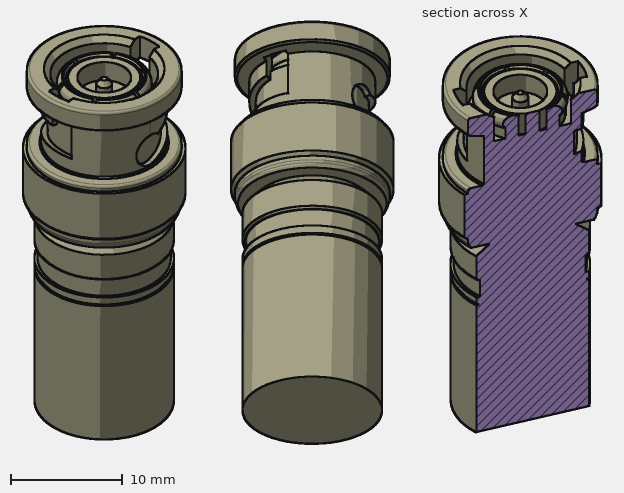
import cadquery as cq
import math

length = 36.05

rim_radius = 6.95
rim_rounding = 0.25
rim_edge_depth = 1.9
rim_under_radius = 6.75
rim_under_depth = 2.1
neck_radius = 5.65
neck_top_depth = 2.45
neck_flare = 0.15

collar_diameter = 14.6
collar_radius = collar_diameter / 2
collar_top_depth = 8.0
collar_step_depth = 8.58
collar_bottom_depth = 13.5
lower_rim_depth = 14.25
end_round_radius = 6.9
end_round_depth = 14.5
nut_end_depth = 14.9
nut_end_radius = 6.67

throat_radius = 5.23
body_radius = 6.27
body_shoulder_depth = nut_end_depth + (body_radius - throat_radius)
wide_groove_top_depth = 18.55
wide_groove_bottom_depth = 20.6
wide_groove_radius = 6.0
wide_groove_chamfer = 0.2
joint_depth = 21.35
joint_groove_size = 0.18

bore_radius = 4.83
bore_mouth_radius = 5.4
bore_mouth_depth = 0.55
bore_depth = 3.25

finger_count = 6
finger_radius = 4.25
finger_root_radius = 4.1
finger_bulge_depth = 1.45
finger_inner_radius = 3.42
finger_top_depth = 0.8
finger_tip_inner_radius = 3.65
finger_tip_outer_radius = 3.8
finger_slot_width = 0.35

insulator_radius = 3.25
insulator_depth = 0.95
insulator_bore_radius = 2.4
insulator_bore_depth = 2.92
pin_radius = 0.72
pin_tip_radius = 0.3
pin_tip_depth = 1.08
pin_shoulder_depth = 1.62

key_width = 2.35
key_outer_radius = 6.05
ramp_floor_radius = 5.1
ramp_width = 2.45
ramp_angle = 13.5
latch_radius = 1.6
latch_depth = 6.15


def height(depth):
    """Z of a point that lies the given depth below the mating face."""
    return length - depth


def cylinder(radius, top_depth, bottom_depth):
    """Solid cylinder on the axis between two depths."""
    base = cq.Workplane("XY").workplane(offset=height(bottom_depth))
    return base.circle(radius).extrude(bottom_depth - top_depth)


def revolve(profile):
    """Turn a closed radius-height profile about the Z axis."""
    return profile.close().revolve(360, (0, 0, 0), (0, 1, 0))


def outer_shell():
    """Solid envelope of the nut and cable body."""
    arc_offset = rim_rounding * (1 - math.sqrt(0.5))
    groove_bottom = wide_groove_top_depth + wide_groove_chamfer
    joint_bottom = joint_depth + joint_groove_size
    return revolve(
        cq.Workplane("XZ")
        .moveTo(0, height(0))
        .lineTo(rim_radius - rim_rounding, height(0))
        .threePointArc(
            (rim_radius - arc_offset, height(arc_offset)),
            (rim_radius, height(rim_rounding)),
        )
        .lineTo(rim_radius, height(rim_edge_depth))
        .lineTo(rim_under_radius, height(rim_under_depth))
        .lineTo(neck_radius, height(neck_top_depth))
        .lineTo(neck_radius, height(collar_top_depth - neck_flare))
        .lineTo(neck_radius + neck_flare, height(collar_top_depth))
        .lineTo(rim_radius - rim_rounding, height(collar_top_depth))
        .threePointArc(
            (rim_radius - arc_offset, height(collar_top_depth + arc_offset)),
            (rim_radius, height(collar_top_depth + rim_rounding)),
        )
        .lineTo(rim_radius, height(collar_step_depth))
        .lineTo(collar_radius, height(collar_step_depth))
        .lineTo(collar_radius, height(collar_bottom_depth))
        .lineTo(rim_radius, height(collar_bottom_depth + collar_radius - rim_radius))
        .lineTo(rim_radius, height(lower_rim_depth))
        .lineTo(end_round_radius, height(end_round_depth))
        .tangentArcPoint((nut_end_radius, height(nut_end_depth)), relative=False)
        .lineTo(throat_radius, height(nut_end_depth))
        .lineTo(body_radius, height(body_shoulder_depth))
        .lineTo(body_radius, height(wide_groove_top_depth))
        .lineTo(body_radius - wide_groove_chamfer, height(groove_bottom))
        .lineTo(wide_groove_radius, height(groove_bottom))
        .lineTo(wide_groove_radius, height(wide_groove_bottom_depth))
        .lineTo(body_radius, height(wide_groove_bottom_depth))
        .lineTo(body_radius, height(joint_depth))
        .lineTo(body_radius - joint_groove_size, height(joint_bottom))
        .lineTo(body_radius, height(joint_bottom))
        .lineTo(body_radius, 0)
        .lineTo(0, 0)
    )


def socket():
    """Flared bore in the mating end."""
    return revolve(
        cq.Workplane("XZ")
        .moveTo(0, height(0))
        .lineTo(bore_mouth_radius, height(0))
        .lineTo(bore_radius, height(bore_mouth_depth))
        .lineTo(bore_radius, height(bore_depth))
        .lineTo(0, height(bore_depth))
    )


def contact_fingers():
    """Rounded contact ring split into equal fingers by radial slots."""
    bevel = finger_tip_inner_radius - finger_inner_radius
    ring = revolve(
        cq.Workplane("XZ")
        .moveTo(finger_inner_radius, height(bore_depth))
        .lineTo(finger_inner_radius, height(finger_top_depth + bevel))
        .lineTo(finger_tip_inner_radius, height(finger_top_depth))
        .lineTo(finger_tip_outer_radius, height(finger_top_depth))
        .threePointArc(
            (finger_radius, height(finger_bulge_depth)),
            (finger_root_radius, height(2 * finger_bulge_depth - finger_top_depth)),
        )
        .lineTo(finger_root_radius, height(bore_depth))
    )
    slot_height = bore_depth - finger_top_depth
    for index in range(finger_count):
        slot = cq.Workplane("XY").box(
            bore_radius, finger_slot_width, slot_height, centered=(False, True, False)
        )
        slot = slot.translate((0, 0, height(bore_depth)))
        ring = ring.cut(slot.rotate((0, 0, 0), (0, 0, 1), index * 360 / finger_count))
    return ring


def insulator():
    """Hollow insulator with a floor around the pin."""
    body = cylinder(insulator_radius, insulator_depth, bore_depth)
    return body.cut(cylinder(insulator_bore_radius, insulator_depth, insulator_bore_depth))


def centre_pin():
    """Centre contact with a tapered tip."""
    return revolve(
        cq.Workplane("XZ")
        .moveTo(0, height(pin_tip_depth))
        .lineTo(pin_tip_radius, height(pin_tip_depth))
        .lineTo(pin_radius, height(pin_shoulder_depth))
        .lineTo(pin_radius, height(insulator_bore_depth))
        .lineTo(0, height(insulator_bore_depth))
    )


def bayonet_cut():
    """Keyway on the -Y side with the ramp that rises to it from a latch hole on the -X side."""
    sine = math.sin(math.radians(ramp_angle))
    cosine = math.cos(math.radians(ramp_angle))
    reach = 2 * neck_radius
    latch_height = height(latch_depth)

    tangent_y = -latch_radius * sine
    tangent_z = latch_height - latch_radius * cosine
    far_y = -key_outer_radius
    lower_far_z = tangent_z + (tangent_y - far_y) * sine / cosine
    opening = ramp_width / cosine

    side = cq.Workplane("YZ", origin=(key_width / 2, 0, 0))
    ramp = (
        side.moveTo(tangent_y, tangent_z)
        .lineTo(far_y, lower_far_z)
        .lineTo(far_y, lower_far_z + opening)
        .lineTo(tangent_y, tangent_z + opening)
        .close()
        .extrude(-reach)
    )
    latch = side.center(0, latch_height).circle(latch_radius).extrude(-reach)

    key_bottom_z = lower_far_z + opening / 2
    keyway = cq.Workplane("XY").box(
        key_width, reach, height(0) - key_bottom_z, centered=(True, False, False)
    )
    keyway = keyway.translate((0, -reach, key_bottom_z))

    key_envelope = cylinder(key_outer_radius, 0, collar_top_depth)
    wall_zone = key_envelope.cut(cylinder(ramp_floor_radius, 0, collar_top_depth))
    bore_zone = cylinder(key_outer_radius, 0, bore_depth)
    wall_cut = ramp.union(latch).union(keyway).intersect(wall_zone)
    return wall_cut.union(keyway.intersect(bore_zone))


bayonet = bayonet_cut()
result = outer_shell().cut(socket())
for turn in (0, 180):
    result = result.cut(bayonet.rotate((0, 0, 0), (0, 0, 1), turn))
result = result.union(contact_fingers()).union(insulator()).union(centre_pin())